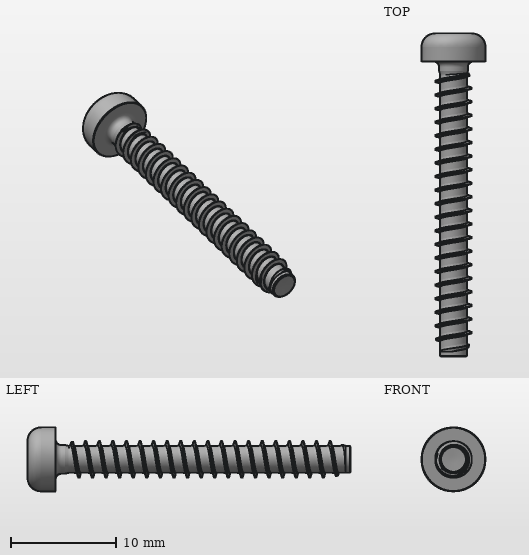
import cadquery as cq
total_length = 30.7
head_diameter = 6.1
head_height = 2.7
head_rounding = 1.32
head_chamfer = 0.05
shank_length = total_length - head_height

collar_diameter = 2.75
neck_fillet = 0.5
collar_length = 0.85
collar_taper_length = 0.37
core_diameter = 2.58
tip_diameter = 2.33
tip_chamfer_length = 0.1
tip_dish_depth = 0.05

thread_diameter = 3.5
thread_pitch = 1.3
thread_turns = 21
first_crest_depth = 1.23
crest_width = 0.05
knee_diameter = 2.67
head_knee = 0.15
tip_knee = 0.12
root_overlap = 0.1
head_foot = 0.92
tip_foot = 0.28
head_runout = thread_pitch
tip_runout = 1.5 * thread_pitch
envelope_clearance = 0.03
envelope_overlap = 0.15

head_radius = head_diameter / 2
collar_radius = collar_diameter / 2
core_radius = core_diameter / 2
tip_radius = tip_diameter / 2
knee_radius = knee_diameter / 2
thread_radius = thread_diameter / 2
root_radius = core_radius - root_overlap


def make_head():
    """Pan head: a short cylinder, generously rounded on top and lightly chamfered below."""
    return (
        cq.Workplane("XY")
        .circle(head_radius)
        .extrude(head_height)
        .faces(">Z")
        .edges()
        .fillet(head_rounding)
        .faces("<Z")
        .edges()
        .chamfer(head_chamfer)
    )


def make_shank():
    """Filleted neck, collar, and threaded core with a chamfered, slightly dished tip."""
    core_start = -collar_length - collar_taper_length
    fillet_arc_offset = neck_fillet * (1 - 0.5**0.5)
    return (
        cq.Workplane("YZ")
        .moveTo(0, 0)
        .lineTo(collar_radius + neck_fillet, 0)
        .threePointArc(
            (collar_radius + fillet_arc_offset, -fillet_arc_offset),
            (collar_radius, -neck_fillet),
        )
        .lineTo(collar_radius, -collar_length)
        .lineTo(core_radius, core_start)
        .lineTo(core_radius, tip_chamfer_length - shank_length)
        .lineTo(tip_radius, -shank_length)
        .lineTo(0, tip_dish_depth - shank_length)
        .close()
        .revolve(360, (0, 0), (0, 1))
    )


def make_thread_ridge():
    """Right-hand ridge of constant section: a thin steep crest standing on a shallow foot."""
    helix_height = thread_turns * thread_pitch
    helix = cq.Wire.makeHelix(thread_pitch, helix_height, root_radius)
    ridge = (
        cq.Workplane("XZ")
        .moveTo(root_radius, -tip_foot)
        .lineTo(knee_radius, -tip_knee)
        .lineTo(thread_radius, -crest_width / 2)
        .lineTo(thread_radius, crest_width / 2)
        .lineTo(knee_radius, head_knee)
        .lineTo(root_radius, head_foot)
        .close()
        .sweep(cq.Workplane(helix), isFrenet=True)
    )
    return ridge.translate((0, 0, -first_crest_depth - helix_height))


def make_thread_envelope():
    """Solid of revolution that fades the ridge into the core at both ends."""
    envelope_radius = thread_radius + envelope_clearance
    envelope_top = -neck_fillet
    end_radius = core_radius - envelope_overlap
    return (
        cq.Workplane("YZ")
        .moveTo(0, envelope_top)
        .lineTo(end_radius, envelope_top)
        .lineTo(envelope_radius, envelope_top - head_runout)
        .lineTo(envelope_radius, tip_runout - shank_length)
        .lineTo(end_radius, -shank_length)
        .lineTo(0, -shank_length)
        .close()
        .revolve(360, (0, 0), (0, 1))
    )


thread = make_thread_ridge().intersect(make_thread_envelope())
screw = make_head().union(make_shank()).union(thread)

result = screw.rotate((0, 0, 0), (1, 0, 0), -90)